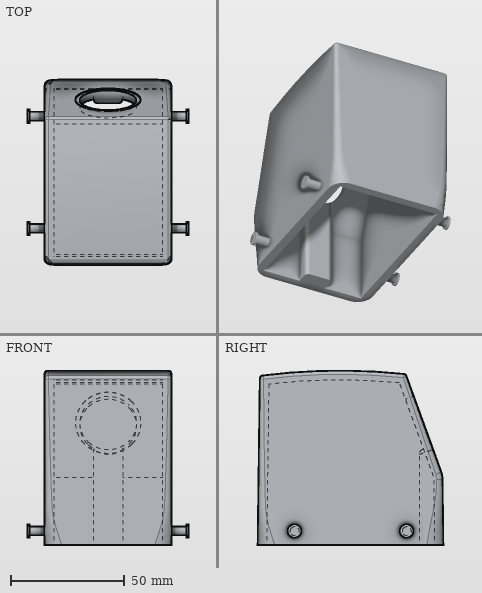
import cadquery as cq
import math

tolerance = 0.01

width = 56.0
length = 82.0
height = 76.93
wall = 4.0
draft = math.tan(math.radians(0.75))
slope_angle = 20.0
slope = math.tan(math.radians(slope_angle))
slope_start_z = 30.7
slope_bend_radius = 10.0
crown_y = -4.7
crown_radius = 270.0

base_radius = 7.5
bend_radius = 2.7
top_radius = 1.6
back_corner_radii = [
    (0.0, base_radius),
    (5.0, 5.9),
    (10.5, 4.2),
    (15.0, 3.4),
    (24.0, 2.9),
    (43.0, 2.3),
    (59.0, 1.95),
]

entry_z = 54.0
entry_diameter = 25.0
entry_rim_diameter = 28.8
entry_rim_depth = 0.4
entry_cut_depth = 10.0

rib_width = 12.8
rib_face_y = 30.35
rib_edge_radius = 2.0

overall_width = 71.0
pin_diameter = 4.0
pin_head_diameter = 6.0
pin_head_thickness = 1.0
pin_z = 6.2
pin_spacing = 49.4


def slope_y(z):
    """Y of the outer face of the sloped wall at height z."""
    return length / 2 - slope_start_z * draft - (z - slope_start_z) * slope


def sharp_block(inset):
    """Hood volume with sharp edges, moved inwards by inset everywhere except at the open base."""
    base_y = length / 2 - inset
    slope_stretch = math.hypot(1, slope)
    bend_z = slope_start_z - inset * (slope_stretch - 1) / (slope - draft)
    profile = [
        (-base_y, 0),
        (base_y, 0),
        (base_y - bend_z * draft, bend_z),
        (slope_y(height) - inset * slope_stretch, height),
        (-base_y + height * draft, height),
    ]
    half_width = width / 2 - inset
    crown = (
        cq.Workplane("YZ")
        .center(crown_y, height - crown_radius)
        .circle(crown_radius - inset)
        .extrude(width, both=True)
    )
    return cq.Workplane("YZ").polyline(profile).close().extrude(half_width, both=True).intersect(crown)


def cable_side_radius(point):
    """Corner radius on the cable side: base to bend, then along the slope to the top."""
    bend_tangent = slope_bend_radius * math.tan(math.radians(slope_angle) / 2)
    if point.z < tolerance:
        return base_radius
    if point.z < slope_start_z + bend_tangent:
        return bend_radius
    return top_radius


def back_corner_law(edge):
    """Radius along a back corner edge, as (fraction of the edge, radius) pairs."""
    start_z = edge.startPoint().z
    end_z = edge.endPoint().z
    top_z = max(start_z, end_z)
    pairs = [((z - start_z) / (end_z - start_z), r) for z, r in back_corner_radii + [(top_z, top_radius)]]
    pairs.sort()
    law = cq.occ_impl.shapes.TColgp_HArray1OfPnt2d(1, len(pairs))
    for index, (fraction, radius) in enumerate(pairs, start=1):
        law.SetValue(index, cq.occ_impl.shapes.gp_Pnt2d(fraction, radius))
    return law


def rounded_block():
    """Outer hood volume with every edge rounded except those of the base."""
    block = sharp_block(0)
    bend = cq.selectors.NearestToPointSelector((0, slope_y(slope_start_z), slope_start_z))
    block = block.edges("|X").edges(bend).fillet(slope_bend_radius)

    base_edges = block.faces("<Z").edges().vals()
    fillet = cq.occ_impl.shapes.BRepFilletAPI_MakeFillet(block.val().wrapped)
    for edge in block.edges().vals():
        if any(edge.isSame(base_edge) for base_edge in base_edges):
            continue
        start, end = edge.startPoint(), edge.endPoint()
        across = abs(start.x - end.x) > width / 2
        if across:
            is_bend_tangent = max(start.z, end.z) < height / 2
            if not is_bend_tangent:
                fillet.Add(top_radius, edge.wrapped)
        elif max(start.y, end.y) < 0:
            fillet.Add(back_corner_law(edge), edge.wrapped)
        else:
            fillet.Add(cable_side_radius(start), cable_side_radius(end), edge.wrapped)
    return cq.Workplane(cq.Shape.cast(fillet.Shape()))


def cavity():
    """Inner space of the hood, leaving the rib standing on the cable side wall."""
    rib_depth = length / 2 - rib_face_y
    rib = (
        cq.Workplane("XY")
        .center(0, rib_face_y + rib_depth / 2)
        .rect(rib_width, rib_depth)
        .extrude(height)
        .edges("|Z and <Y")
        .fillet(rib_edge_radius)
    )
    return sharp_block(wall).cut(rib)


def cable_entry():
    """Round hole with a shallow wider rim, square to the sloped wall."""
    angle = math.radians(slope_angle)
    entry_plane = cq.Plane(
        origin=(0, slope_y(entry_z), entry_z),
        xDir=(1, 0, 0),
        normal=(0, math.cos(angle), math.sin(angle)),
    )
    bore = cq.Workplane(entry_plane).circle(entry_diameter / 2).extrude(-entry_cut_depth)
    rim = cq.Workplane(entry_plane).circle(entry_rim_diameter / 2).extrude(-entry_rim_depth)
    return bore.union(rim)


def locking_pin(side, y):
    """Headed pin standing out of the side wall; side is +1 or -1 along X."""
    inner_x = width / 2 - wall
    pin = (
        cq.Workplane("YZ", origin=(inner_x, y, pin_z))
        .circle(pin_diameter / 2)
        .extrude(overall_width / 2 - inner_x)
        .faces(">X")
        .workplane()
        .circle(pin_head_diameter / 2)
        .extrude(-pin_head_thickness)
    )
    return pin if side > 0 else pin.mirror("YZ")


result = rounded_block().cut(cavity()).cut(cable_entry())
for pin_side in (-1, 1):
    for pin_y in (-pin_spacing / 2, pin_spacing / 2):
        result = result.union(locking_pin(pin_side, pin_y))